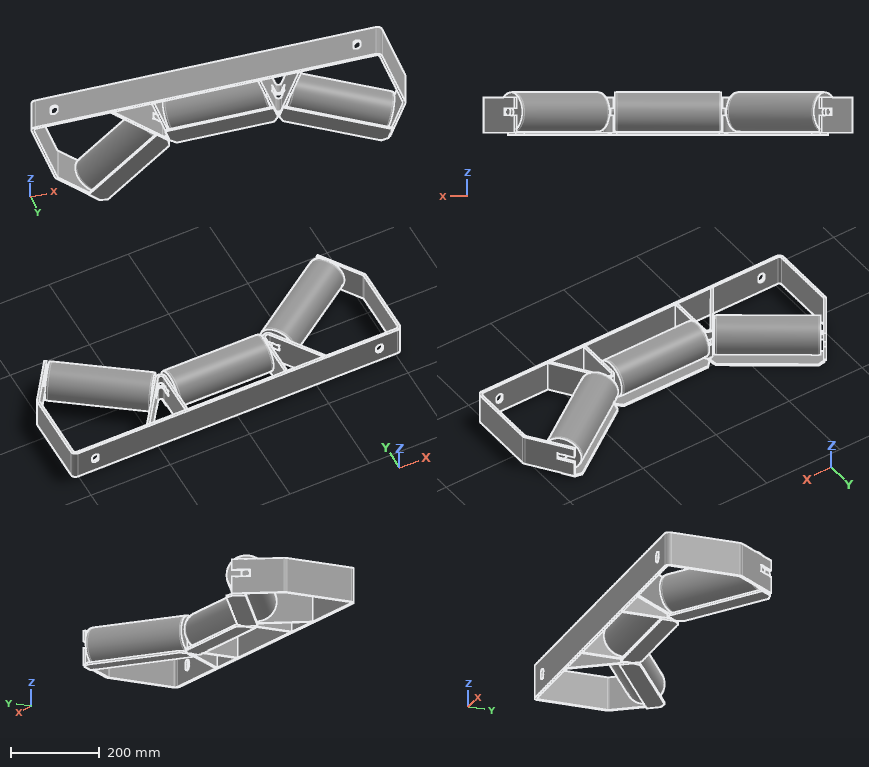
import cadquery as cq
import math

FRAME_LENGTH = 830.0
BAR_HEIGHT = 80.0
BAR_THICKNESS = 6.0
CORNER_RADIUS = 6.0
ARM_BEND_Y = 181.0
ARM_END_Y = 280.5

MOUNT_SLOT_SPACING = 717.0
MOUNT_SLOT_WIDTH = 17.5
MOUNT_SLOT_HEIGHT = 25.0

TROUGH_ANGLE = 35.0
MIDDLE_ROLLER_Y = 100.5
SIDE_ROLLER_X = 255.0
SIDE_ROLLER_Y = 179.0
AXIS_Z = 47.0
STATIONS = [
    (-SIDE_ROLLER_X, SIDE_ROLLER_Y, -TROUGH_ANGLE),
    (0.0, MIDDLE_ROLLER_Y, 0.0),
    (SIDE_ROLLER_X, SIDE_ROLLER_Y, TROUGH_ANGLE),
]

ROLLER_RADIUS = 45.0
ROLLER_LENGTH = 240.0
END_CAP_WIDTH = 5.0
END_CAP_TAPER = 1.0
SHAFT_RADIUS = 10.0
SHAFT_FLAT_WIDTH = 16.0
SUPPORT_GAP = 246.0
SUPPORT_SPAN = SUPPORT_GAP + 2 * BAR_THICKNESS

BRACKET_BEND_RADIUS = 7.0

STRIP_THICKNESS = 5.0
STRIP_WIDTH = ROLLER_RADIUS
STRIP_CHAMFER = 13.0


def place(body, station):
    """Move a body from roller coordinates (axis along X) to its station."""
    x, y, angle = station
    return body.rotate((0, 0, 0), (0, 0, 1), angle).translate((x, y, 0))


def offset_path(points, distance):
    """Shift an open path to its left by a distance, with sharp corners."""
    headings = [math.atan2(b[1] - a[1], b[0] - a[0]) for a, b in zip(points, points[1:])]
    arriving = [headings[0]] + headings
    leaving = headings + [headings[-1]]
    shifted = []
    for (x, y), before, after in zip(points, arriving, leaving):
        half_turn = math.remainder(after - before, 2 * math.pi) / 2
        reach = distance / math.cos(half_turn)
        normal = before + half_turn + math.pi / 2
        shifted.append((x + reach * math.cos(normal), y + reach * math.sin(normal)))
    return shifted


def bent_bar(outer_path, inside_radius):
    """Bar standing on Z = 0 whose outer face follows a path that always turns left."""
    inner_path = offset_path(outer_path, BAR_THICKNESS)
    bar = cq.Workplane("XY").polyline(outer_path + inner_path[::-1]).close().extrude(BAR_HEIGHT)
    for path, radius in ((outer_path, inside_radius + BAR_THICKNESS), (inner_path, inside_radius)):
        for x, y in path[1:-1]:
            corner = cq.selectors.NearestToPointSelector((x, y, BAR_HEIGHT / 2))
            bar = bar.edges("|Z").edges(corner).fillet(radius)
    return bar


def shaft_slots():
    """Cutters for the slots that take the shaft flats, open away from the base."""
    length = SUPPORT_SPAN + 2 * (BRACKET_BEND_RADIUS + BAR_THICKNESS)
    depth = ARM_END_Y - MIDDLE_ROLLER_Y
    cutter = (
        cq.Workplane("XY", origin=(0, -SHAFT_RADIUS, AXIS_Z))
        .box(length, depth, SHAFT_FLAT_WIDTH, centered=(True, False, True))
    )
    return [place(cutter, station) for station in STATIONS]


def make_frame():
    half = FRAME_LENGTH / 2
    arm_lean = (ARM_END_Y - ARM_BEND_Y) * math.tan(math.radians(TROUGH_ANGLE))
    right_side = [(half, 0), (half, ARM_BEND_Y), (half - arm_lean, ARM_END_Y)]
    left_side = [(-x, y) for x, y in right_side[::-1]]
    frame = bent_bar(left_side + right_side, CORNER_RADIUS)
    mount_slots = (
        cq.Workplane("XZ", origin=(0, 0, BAR_HEIGHT / 2))
        .rarray(MOUNT_SLOT_SPACING, 8, 2, 1)
        .slot2D(MOUNT_SLOT_HEIGHT, MOUNT_SLOT_WIDTH, 90)
        .extrude(-BAR_THICKNESS)
    )
    frame = frame.cut(mount_slots)
    left_slot, _, right_slot = shaft_slots()
    return frame.cut(left_slot).cut(right_slot)


def make_left_bracket():
    """Bracket whose upright leg faces the middle roller and whose sloping leg faces the left one."""
    tilt = math.radians(TROUGH_ANGLE)
    half_gap = SUPPORT_GAP / 2
    upright_x = -half_gap
    face_x = -SIDE_ROLLER_X + half_gap * math.cos(tilt)
    face_y = SIDE_ROLLER_Y - half_gap * math.sin(tilt)
    apex_y = face_y + (upright_x - face_x) / math.tan(tilt)
    foot_x = face_x - face_y * math.tan(tilt)
    bracket = bent_bar([(upright_x, 0), (upright_x, apex_y), (foot_x, 0)], BRACKET_BEND_RADIUS)
    base = cq.Workplane("XY").box(
        FRAME_LENGTH, 2 * BAR_THICKNESS, BAR_HEIGHT, centered=(True, True, False)
    )
    bracket = bracket.cut(base)
    left_slot, middle_slot, _ = shaft_slots()
    return bracket.cut(left_slot).cut(middle_slot)


def make_roller():
    """Roller with slightly tapered end caps on a shaft flattened at both tips."""
    half = ROLLER_LENGTH / 2
    profile = [
        (-half, 0),
        (-half, ROLLER_RADIUS - END_CAP_TAPER),
        (-half + END_CAP_WIDTH, ROLLER_RADIUS),
        (half - END_CAP_WIDTH, ROLLER_RADIUS),
        (half, ROLLER_RADIUS - END_CAP_TAPER),
        (half, 0),
    ]
    drum = cq.Workplane("XY").polyline(profile).close().revolve(360, (0, 0, 0), (1, 0, 0))
    shaft = cq.Workplane("YZ").circle(SHAFT_RADIUS).extrude(SUPPORT_GAP / 2, both=True)
    tips = (
        cq.Workplane("YZ").circle(SHAFT_RADIUS).extrude(SUPPORT_SPAN / 2, both=True)
        .intersect(cq.Workplane("XY").box(SUPPORT_SPAN, 2 * SHAFT_RADIUS, SHAFT_FLAT_WIDTH))
    )
    return drum.union(shaft).union(tips).translate((0, 0, AXIS_Z))


def make_strip():
    """Flat strip below the supports, from the roller axis outwards, with two cut corners."""
    return (
        cq.Workplane("XY")
        .box(SUPPORT_SPAN, STRIP_WIDTH, STRIP_THICKNESS, centered=(True, False, False))
        .edges("|Z and >Y")
        .chamfer(STRIP_CHAMFER)
        .translate((0, 0, -STRIP_THICKNESS))
    )


frame = make_frame()
left_bracket = make_left_bracket()
brackets = [left_bracket, left_bracket.mirror("YZ")]
rollers = [place(make_roller(), station) for station in STATIONS]
strips = [place(make_strip(), station) for station in STATIONS]

bodies = [frame] + brackets + rollers + strips
result = cq.Compound.makeCompound([body.solids().val() for body in bodies])